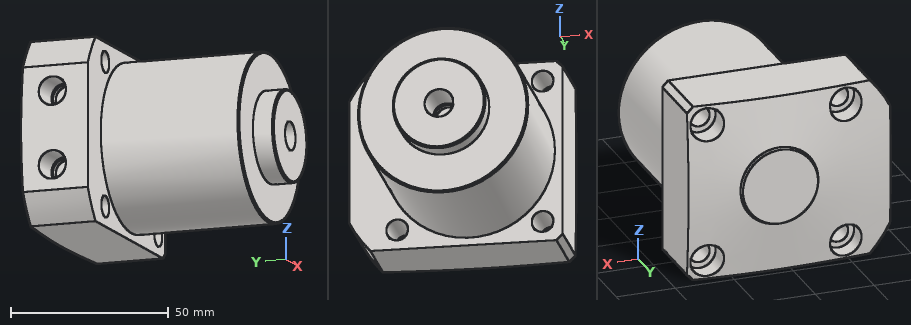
import cadquery as cq
import math

length = 81.0
flange_height = 60.0
half_height = flange_height / 2
port_side = 39.05
corner_radius = 44.0
plain_corner_chamfer = 2.0

body_radius = 55.0 / 2
body_length = 47.0
rod_radius = 30.0 / 2
rod_length = 7.0
end_chamfer = 0.5
flange_depth = length - body_length - rod_length

hub_top_radius = 12.7
hub_base_radius = 13.2
hub_height = 1.0
cone_drop = 4.0

bolt_pitch = 47.0
bolt_diameter = 7.0
counterbore_diameter = 11.0
counterbore_floor = 16.2

thread_diameter = 9.2
core_diameter = 8.2
core_extra_depth = 2.4
rod_thread_depth = 14.6
port_thread_depth = 11.3
port_spacing = 24.0
port_offset = 12.1


def turned(profile):
    """Revolve (radius, Y) points around the Y axis."""
    return cq.Workplane("XY").polyline(profile).close().revolve(360, (0, 0, 0), (0, 1, 0))


def cylinder(radius, depth, start, direction):
    return cq.Workplane(obj=cq.Solid.makeCylinder(radius, depth, cq.Vector(*start), cq.Vector(*direction)))


def threaded_hole(thread_depth, start, direction):
    """Blind threaded hole with its narrower core drilled on below the thread."""
    thread = cylinder(thread_diameter / 2, thread_depth, start, direction)
    core = cylinder(core_diameter / 2, thread_depth + core_extra_depth, start, direction)
    return thread.union(core)


def flange():
    """Plate with two arc corners, two chamfered corners and a conical back with a hub."""
    arc_top_x = -math.sqrt(corner_radius**2 - half_height**2)
    arc_side_z = math.sqrt(corner_radius**2 - port_side**2)
    middle_angle = (math.atan2(half_height, arc_top_x) + math.atan2(arc_side_z, -port_side)) / 2
    arc_middle_x = corner_radius * math.cos(middle_angle)
    arc_middle_z = corner_radius * math.sin(middle_angle)
    chamfer_start = half_height - plain_corner_chamfer
    plate = (
        cq.Workplane("XZ")
        .moveTo(arc_top_x, half_height)
        .lineTo(chamfer_start, half_height)
        .lineTo(half_height, chamfer_start)
        .lineTo(half_height, -chamfer_start)
        .lineTo(chamfer_start, -half_height)
        .lineTo(arc_top_x, -half_height)
        .threePointArc((arc_middle_x, -arc_middle_z), (-port_side, -arc_side_z))
        .lineTo(-port_side, arc_side_z)
        .threePointArc((arc_middle_x, arc_middle_z), (arc_top_x, half_height))
        .close()
        .extrude(-flange_depth)
    )
    hub_base = flange_depth - hub_height
    slope = cone_drop / (corner_radius - hub_base_radius)
    outer_radius = corner_radius + 0.8
    back_shape = turned([
        (0, 0),
        (outer_radius, 0),
        (outer_radius, hub_base - slope * (outer_radius - hub_base_radius)),
        (hub_base_radius, hub_base),
        (hub_top_radius, flange_depth),
        (0, flange_depth),
    ])
    return plate.intersect(back_shape)


def body_and_rod():
    body_end = -body_length
    rod_end = body_end - rod_length
    return turned([
        (0, 0),
        (body_radius, 0),
        (body_radius, body_end + end_chamfer),
        (body_radius - end_chamfer, body_end),
        (rod_radius, body_end),
        (rod_radius, rod_end + end_chamfer),
        (rod_radius - end_chamfer, rod_end),
        (0, rod_end),
    ])


result = flange().union(body_and_rod())

for x in (-bolt_pitch / 2, bolt_pitch / 2):
    for z in (-bolt_pitch / 2, bolt_pitch / 2):
        result = result.cut(cylinder(bolt_diameter / 2, flange_depth, (x, 0, z), (0, 1, 0)))
        counterbore_start = (x, counterbore_floor, z)
        result = result.cut(cylinder(counterbore_diameter / 2, flange_depth, counterbore_start, (0, 1, 0)))

result = result.cut(threaded_hole(rod_thread_depth, (0, -body_length - rod_length, 0), (0, 1, 0)))

for z in (-port_spacing / 2, port_spacing / 2):
    result = result.cut(threaded_hole(port_thread_depth, (-port_side, port_offset, z), (1, 0, 0)))